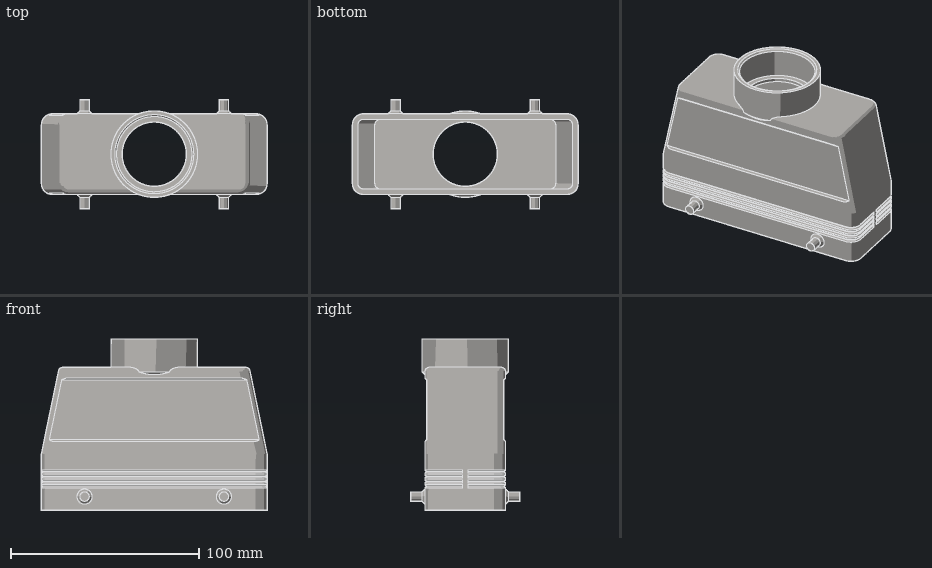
import cadquery as cq
import math

length = 120.0
depth = 43.0
body_height = 76.0
skirt_height = 30.0
top_length = 101.0
corner_radius = 6.0
top_fillet = 2.5
wall = 3.0

panel_bottom = 36.5
panel_top = 70.3
panel_depth = 1.0

overall_height = 91.0
collar_radius = 23.0
collar_bottom = body_height - top_fillet
entry_radius = 20.0
entry_floor = 75.0
entry_chamfer = 1.0
through_radius = 17.0

groove_count = 4
groove_pitch = 2.57
groove_depth = 0.8
lowest_groove = 12.8
groove_gap = 3.0

peg_tip_span = 58.0
peg_radius = 2.5
peg_foot_height = 1.5
peg_x = 37.0
peg_z = 7.3

half_length = length / 2
half_depth = depth / 2
half_top = top_length / 2
ceiling = body_height - wall


def rounded_block(foot_half, kink_z, top_half, top_z, block_depth, radius):
    """Skirt with inward leaning ends above kink_z, all four corners rounded."""
    block = (
        cq.Workplane("XZ")
        .moveTo(-foot_half, 0)
        .lineTo(foot_half, 0)
        .lineTo(foot_half, kink_z)
        .lineTo(top_half, top_z)
        .lineTo(-top_half, top_z)
        .lineTo(-foot_half, kink_z)
        .close()
        .extrude(block_depth / 2, both=True)
    )
    return block.edges("not #Z").fillet(radius)


def outer_hood():
    """Solid hood with its top edge rounded."""
    block = rounded_block(half_length, skirt_height, half_top, body_height, depth, corner_radius)
    return block.faces(">Z").edges().fillet(top_fillet)


def cavity():
    """Interior, open at the foot, one wall thickness inside the hood all round."""
    lean = math.atan2(half_length - half_top, body_height - skirt_height)
    ceiling_half = half_top + wall * math.tan(lean) - wall / math.cos(lean)
    return rounded_block(
        half_length - wall,
        skirt_height - wall * math.tan(lean / 2),
        ceiling_half,
        ceiling,
        depth - 2 * wall,
        corner_radius - wall,
    )


def panel_cutter(side):
    """Recess along one long face (side is -1 or 1), with 45 degree edges at top and bottom."""
    face_y = side * half_depth
    floor_y = side * (half_depth - panel_depth)
    outline = [
        (face_y, panel_bottom),
        (floor_y, panel_bottom + panel_depth),
        (floor_y, panel_top - panel_depth),
        (face_y, panel_top),
    ]
    return cq.Workplane("YZ").polyline(outline).close().extrude(half_length, both=True)


def groove_cutter(center_z):
    """V groove around the skirt, leaving a land at the middle of each end."""
    def tapered_slab(direction):
        return (
            cq.Workplane("XY")
            .workplane(offset=center_z - direction * groove_depth)
            .sketch()
            .rect(length, depth)
            .vertices()
            .fillet(corner_radius)
            .finalize()
            .extrude(direction * groove_depth, taper=45)
        )

    band = cq.Workplane("XY").box(length, depth, 2 * groove_depth)
    land = cq.Workplane("XY").box(length, groove_gap, 2 * groove_depth)
    place = (0, 0, center_z)
    core = tapered_slab(1).union(tapered_slab(-1))
    return band.translate(place).cut(core).cut(land.translate(place))


def collar():
    """Round collar whose underside tapers at 45 degrees into the long faces."""
    overhang = collar_radius - half_depth
    sleeve = (
        cq.Workplane("XY")
        .workplane(offset=collar_bottom)
        .circle(collar_radius)
        .extrude(overall_height - collar_bottom)
    )
    underside = cq.Workplane(
        cq.Solid.makeCone(half_depth, collar_radius, overhang, cq.Vector(0, 0, collar_bottom - overhang))
    )
    return sleeve.union(underside)


def entry_cutter():
    """Chamfered counterbore in the collar with a smaller hole through to the cavity."""
    counterbore = (
        cq.Workplane("XY")
        .workplane(offset=entry_floor)
        .circle(entry_radius)
        .extrude(overall_height - entry_floor)
    )
    chamfer = cq.Workplane(
        cq.Solid.makeCone(
            entry_radius,
            entry_radius + entry_chamfer,
            entry_chamfer,
            cq.Vector(0, 0, overall_height - entry_chamfer),
        )
    )
    through = (
        cq.Workplane("XY")
        .workplane(offset=ceiling)
        .circle(through_radius)
        .extrude(entry_floor - ceiling)
    )
    return counterbore.union(chamfer).union(through)


def peg(x, side):
    """Peg standing out of a long face (side is -1 or 1), rooted in the wall."""
    outward = cq.Vector(0, side, 0)
    root_y = half_depth - wall / 2
    root = cq.Vector(x, side * root_y, peg_z)
    pin = cq.Solid.makeCylinder(peg_radius, peg_tip_span / 2 - root_y, root, outward)
    foot_base = cq.Vector(x, side * half_depth, peg_z)
    foot = cq.Solid.makeCone(peg_radius + peg_foot_height, peg_radius, peg_foot_height, foot_base, outward)
    return cq.Workplane(pin).union(cq.Workplane(foot))


hood = outer_hood()
for side in (-1, 1):
    hood = hood.cut(panel_cutter(side))
for index in range(groove_count):
    hood = hood.cut(groove_cutter(lowest_groove + index * groove_pitch))

hood = hood.union(collar()).cut(cavity()).cut(entry_cutter())
for side in (-1, 1):
    for x in (-peg_x, peg_x):
        hood = hood.union(peg(x, side))

result = hood